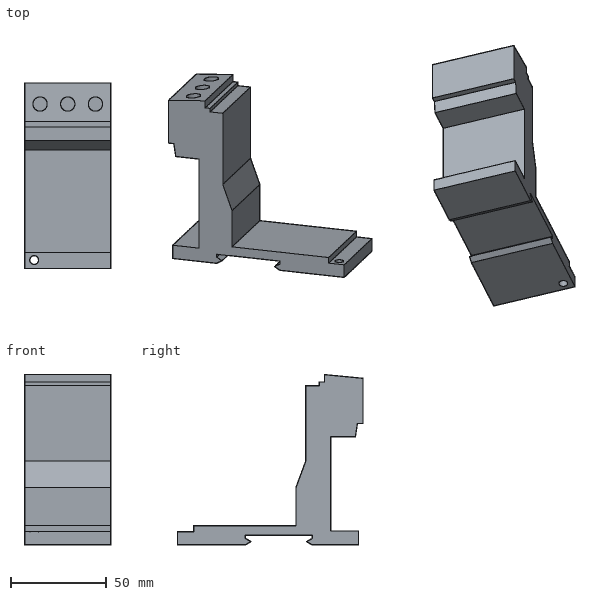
import cadquery as cq

WIDTH = 45.0
LENGTH = 97.0
HEIGHT = 89.0

FLOOR_TOP = 10.1
FRONT_LEDGE_LENGTH = 8.5
FRONT_LEDGE_TOP = 7.0
REAR_LEDGE_END = 94.7
REAR_LEDGE_TOP = 7.4

COLUMN_BACK = 80.2
COLUMN_FOOT_FRONT = 61.9
COLUMN_FRONT = 67.0
SLOPE_BOTTOM = 30.1
SLOPE_TOP = 43.9

FRONT_SHELF_TOP = 83.2
STEP_FRONT = 74.0
STEP_TOP = 85.2
CAP_FRONT = 76.7
CAP_BACK_TOP = 87.1
HEAD_BACK_BOTTOM = 63.4
NOSE_TOP_BACK = 94.1
NOSE_BOTTOM_BACK = 93.0
NOSE_BOTTOM = 56.5

SLOT_FRONT = 35.5
SLOT_BACK = 70.4
SLOT_CEILING = 5.0
TOOTH_HEIGHT = 3.5
TOOTH_REACH = 3.0

TERMINAL_COUNT = 3
TERMINAL_DIAMETER = 7.5
TERMINAL_PITCH = 14.5
TERMINAL_BACK_DISTANCE = 11.1

SCREW_DIAMETER = 4.5
SCREW_SIDE_DISTANCE = 4.9
SCREW_FRONT_DISTANCE = 4.5


def make_body():
    """Side profile in the YZ plane, extruded over the full width."""
    outline = [
        (0, 0),
        (0, FRONT_LEDGE_TOP),
        (FRONT_LEDGE_LENGTH, FRONT_LEDGE_TOP),
        (FRONT_LEDGE_LENGTH, FLOOR_TOP),
        (COLUMN_FOOT_FRONT, FLOOR_TOP),
        (COLUMN_FOOT_FRONT, SLOPE_BOTTOM),
        (COLUMN_FRONT, SLOPE_TOP),
        (COLUMN_FRONT, FRONT_SHELF_TOP),
        (STEP_FRONT, FRONT_SHELF_TOP),
        (STEP_FRONT, STEP_TOP),
        (CAP_FRONT, STEP_TOP),
        (CAP_FRONT, HEIGHT),
        (LENGTH, CAP_BACK_TOP),
        (LENGTH, HEAD_BACK_BOTTOM),
        (NOSE_TOP_BACK, HEAD_BACK_BOTTOM),
        (NOSE_BOTTOM_BACK, NOSE_BOTTOM),
        (COLUMN_BACK, NOSE_BOTTOM),
        (COLUMN_BACK, REAR_LEDGE_TOP),
        (REAR_LEDGE_END, REAR_LEDGE_TOP),
        (REAR_LEDGE_END, 0),
    ]
    return cq.Workplane("YZ").polyline(outline).close().extrude(WIDTH / 2, both=True)


def make_rail_slot():
    """Slot cutter, narrowed by the tips of the two teeth."""
    tip_height = TOOTH_HEIGHT / 2
    outline = [
        (SLOT_FRONT, 0),
        (SLOT_FRONT + TOOTH_REACH, tip_height),
        (SLOT_FRONT, TOOTH_HEIGHT),
        (SLOT_FRONT, SLOT_CEILING),
        (SLOT_BACK, SLOT_CEILING),
        (SLOT_BACK, TOOTH_HEIGHT),
        (SLOT_BACK - TOOTH_REACH, tip_height),
        (SLOT_BACK, 0),
    ]
    return cq.Workplane("YZ").polyline(outline).close().extrude(WIDTH / 2, both=True)


def make_terminal_recesses():
    """Row of upright cylinders, spaced evenly about the middle of the width."""
    return (
        cq.Workplane("XY", origin=(0, LENGTH - TERMINAL_BACK_DISTANCE, STEP_TOP))
        .rarray(TERMINAL_PITCH, 1, TERMINAL_COUNT, 1)
        .circle(TERMINAL_DIAMETER / 2)
        .extrude(HEIGHT - STEP_TOP)
    )


def make_screw_hole():
    return (
        cq.Workplane("XY")
        .center(SCREW_SIDE_DISTANCE - WIDTH / 2, SCREW_FRONT_DISTANCE)
        .circle(SCREW_DIAMETER / 2)
        .extrude(FRONT_LEDGE_TOP)
    )


result = (
    make_body()
    .cut(make_rail_slot())
    .cut(make_terminal_recesses())
    .cut(make_screw_hole())
)